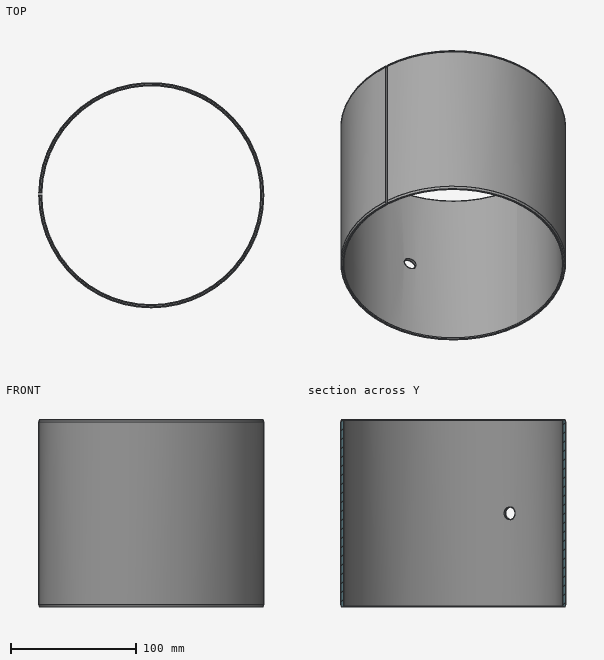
import cadquery as cq

outer_diameter = 180.0
height = 150.0
wall = 2.5
outer_radius = outer_diameter / 2
inner_radius = outer_radius - wall

outer_bevel_height = 2.0
outer_bevel_depth = 0.7
inner_bevel_height = 0.7
inner_bevel_depth = 0.7

slit_width = 1.8

hole_diameter = 10.0
hole_angle = 59.0


def make_tube():
    """Revolve the wall section, which is beveled at all four corners."""
    outer_rim = outer_radius - outer_bevel_depth
    inner_rim = inner_radius + inner_bevel_depth
    section = [
        (inner_rim, 0),
        (outer_rim, 0),
        (outer_radius, outer_bevel_height),
        (outer_radius, height - outer_bevel_height),
        (outer_rim, height),
        (inner_rim, height),
        (inner_radius, height - inner_bevel_height),
        (inner_radius, inner_bevel_height),
    ]
    return cq.Workplane("XZ").polyline(section).close().revolve(360, (0, 0), (0, 1))


def make_slit():
    """Full-height cutter reaching from the axis out through the -X wall."""
    return cq.Workplane("XY").box(
        outer_diameter, slit_width, height, centered=(True, False, False)
    ).translate((-outer_radius, 0, 0))


def make_hole():
    """Cylinder running outward from the axis at the hole angle."""
    return (
        cq.Workplane("YZ")
        .center(0, height / 2)
        .circle(hole_diameter / 2)
        .extrude(outer_diameter)
        .rotate((0, 0, 0), (0, 0, 1), hole_angle)
    )


result = make_tube().cut(make_slit()).cut(make_hole())